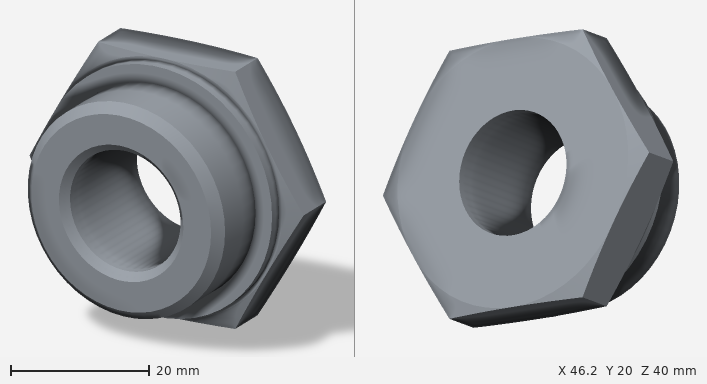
import cadquery as cq
import math

corner_width = 46.2
total_length = 20.0
hex_length = 8.0
ring_thickness = 2.0
ring_diameter = 38.9
spigot_diameter = 33.25
ring_bore_diameter = 33.3
spigot_chamfer = 1.5
bore_diameter = 18.6
bore_mouth_diameter = 20.95
hex_chamfer_angle = 15.0

flat_width = corner_width * math.cos(math.radians(30))
spigot_length = total_length - hex_length
corner_depth = (corner_width - flat_width) / 2
hex_chamfer_drop = corner_depth * math.tan(math.radians(hex_chamfer_angle))
bore_chamfer = (bore_mouth_diameter - bore_diameter) / 2

hex_face = cq.Workplane("XZ")
hex_back = hex_face.workplane(offset=-hex_length)


def make_hexagon():
    """Hexagonal head with both ends turned to a cone that cuts back the corners."""
    prism = hex_back.polygon(6, corner_width).extrude(hex_length)
    half_corner = corner_width / 2
    half_flat = flat_width / 2
    blank = (
        cq.Workplane("XY")
        .moveTo(0, 0)
        .lineTo(half_flat, 0)
        .lineTo(half_corner, hex_chamfer_drop)
        .lineTo(half_corner, hex_length - hex_chamfer_drop)
        .lineTo(half_flat, hex_length)
        .lineTo(0, hex_length)
        .close()
        .revolve(360, (0, 0, 0), (0, 1, 0))
    )
    return prism.intersect(blank)


def make_spigot():
    """Round spigot with a chamfered free end."""
    return hex_face.circle(spigot_diameter / 2).extrude(spigot_length).faces("<Y").chamfer(spigot_chamfer)


def make_bore_cutter():
    """Through bore that flares at the free end of the spigot."""
    bore = hex_back.circle(bore_diameter / 2).extrude(total_length)
    flare = cq.Solid.makeCone(
        bore_mouth_diameter / 2,
        bore_diameter / 2,
        bore_chamfer,
        pnt=cq.Vector(0, -spigot_length, 0),
        dir=cq.Vector(0, 1, 0),
    )
    return bore.union(cq.Workplane(flare))


def make_plug():
    """Hexagonal plug: head and spigot in one piece, bored through."""
    return make_hexagon().union(make_spigot()).cut(make_bore_cutter())


def make_sealing_ring():
    """Flat ring around the spigot, resting on the hexagon."""
    return hex_face.circle(ring_diameter / 2).circle(ring_bore_diameter / 2).extrude(ring_thickness)


plug = make_plug()
sealing_ring = make_sealing_ring()

result = cq.Compound.makeCompound([plug.val(), sealing_ring.val()])